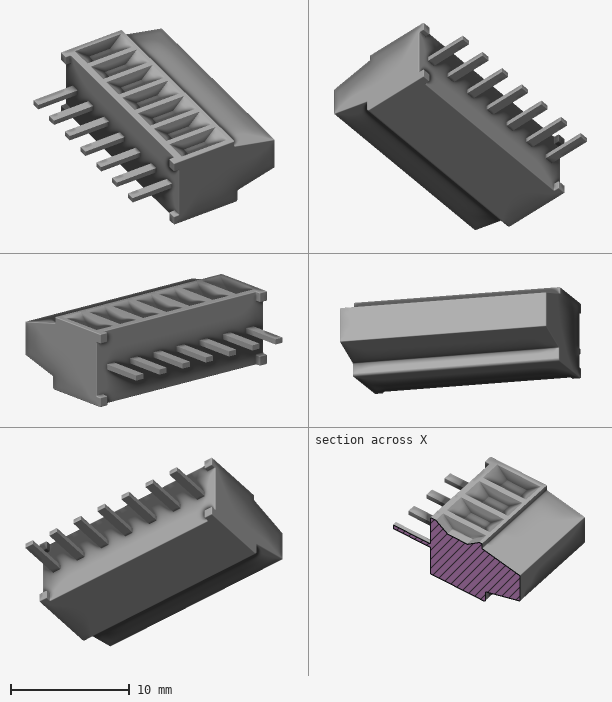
import cadquery as cq

length = 18.24
height = 6.5
depth = 10.0
top_step_y = 5.98
top_step_z = 5.95
bottom_step_y = 6.33
bottom_step_z = 1.15
back_top_z = 5.05
back_bottom_z = 2.12
edge_radius = 0.07
heel_radius = 0.24

recess = 0.5
foot_width = 0.8
foot_height = 0.85

terminal_count = 7
pitch = 2.54
terminal_x = [(i - (terminal_count - 1) / 2) * pitch for i in range(terminal_count)]

funnel_width = 2.0
funnel_length = 4.56
funnel_floor_width = 1.5
funnel_floor_length = 2.08
funnel_depth = 0.9
funnel_y = 3.37

overall_depth = 13.4
pin_width = 0.78
pin_thickness = 0.45
pin_embed = 0.18
pin_length = overall_depth - depth + recess + pin_embed


def make_blank():
    """Side profile extruded along X, with the rear bottom edge rounded."""
    profile = [
        (0, 0),
        (0, height),
        (top_step_y, height),
        (top_step_y, top_step_z),
        (depth, back_top_z),
        (depth, back_bottom_z),
        (bottom_step_y, bottom_step_z),
        (bottom_step_y, 0),
    ]
    blank = cq.Workplane("YZ").polyline(profile).close().extrude(length / 2, both=True)
    heel = cq.selectors.NearestToPointSelector((0, bottom_step_y, 0))
    return blank.edges(heel).fillet(heel_radius)


def make_front_recess():
    """Cross-shaped cutter centred on the front plane; it leaves a foot at each corner."""
    front_center = cq.Workplane("XZ", origin=(0, 0, height / 2))
    upright = front_center.rect(length - 2 * foot_width, height).extrude(recess, both=True)
    crossbar = front_center.rect(length, height - 2 * foot_height).extrude(recess, both=True)
    return upright.union(crossbar)


def make_housing():
    """Blank with the front recess; every edge is rounded except the sharp crest of the top step."""
    body = make_blank().cut(make_front_recess())
    step_crest = cq.selectors.NearestToPointSelector((0, top_step_y, height))
    return body.edges(cq.selectors.InverseSelector(step_crest)).fillet(edge_radius)


def make_funnel(x):
    """Rectangular funnel narrowing downward from the top face."""
    return (
        cq.Workplane("XY", origin=(x, funnel_y, height))
        .rect(funnel_width, funnel_length)
        .workplane(offset=-funnel_depth)
        .rect(funnel_floor_width, funnel_floor_length)
        .loft(ruled=True)
    )


def make_pin(x):
    """Flat pin leaving the recessed front face at mid height."""
    return (
        cq.Workplane("XZ", origin=(x, recess + pin_embed, height / 2))
        .rect(pin_width, pin_thickness)
        .extrude(pin_length)
    )


result = make_housing()
for x in terminal_x:
    result = result.cut(make_funnel(x))
    result = result.union(make_pin(x))